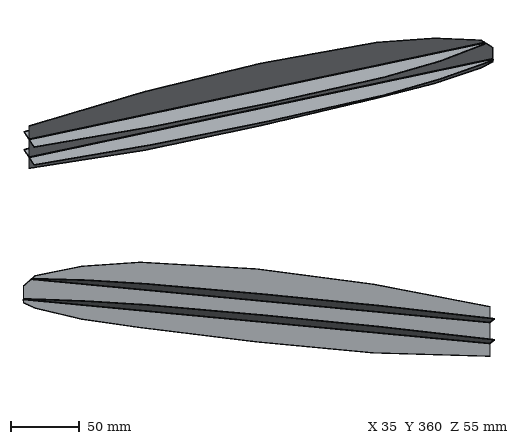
import cadquery as cq

length = 360.0
plate_thickness = 0.5
upper_plate_z = 16.0

nose_y = length / 2
tail_y = -length / 2
shoulder_y = nose_y - 0.025 * length
front_y = nose_y - 0.125 * length
fore_quarter_y = length / 4
aft_quarter_y = -length / 4

upper_nose_y = 173.5

keel_top = [
    (nose_y, 10.0),
    (shoulder_y, 18.7),
    (front_y, 29.0),
    (fore_quarter_y, 36.5),
    (0, 39.5),
    (aft_quarter_y, 36.5),
    (tail_y, 27.7),
]
keel_bottom = [
    (nose_y, -2.5),
    (shoulder_y, -5.8),
    (front_y, -10.8),
    (fore_quarter_y, -13.0),
    (0, -15.5),
    (aft_quarter_y, -15.5),
    (tail_y, -9.7),
]

shared_side = [
    (10.8, front_y),
    (16.0, fore_quarter_y),
    (17.5, 0),
    (16.2, aft_quarter_y),
    (10.5, tail_y),
]
lower_side = [(1.5, nose_y), (3.5, shoulder_y)] + shared_side
upper_side = [(1.5, upper_nose_y), (2.0, shoulder_y)] + shared_side

def keel():
    """Upright plate on the YZ plane, centred on X = 0."""
    outline = keel_top + keel_bottom[::-1]
    return cq.Workplane("YZ").polyline(outline).close().extrude(plate_thickness / 2, both=True)

def level_plate(side, height):
    """Horizontal plate, symmetric about X = 0, centred on the given height."""
    mirrored_side = [(-half_width, y) for half_width, y in side]
    outline = side + mirrored_side[::-1]
    plane = cq.Workplane("XY").workplane(offset=height)
    return plane.polyline(outline).close().extrude(plate_thickness / 2, both=True)

lower_plate = level_plate(lower_side, 0)
upper_plate = level_plate(upper_side, upper_plate_z)
result = keel().union(lower_plate).union(upper_plate)